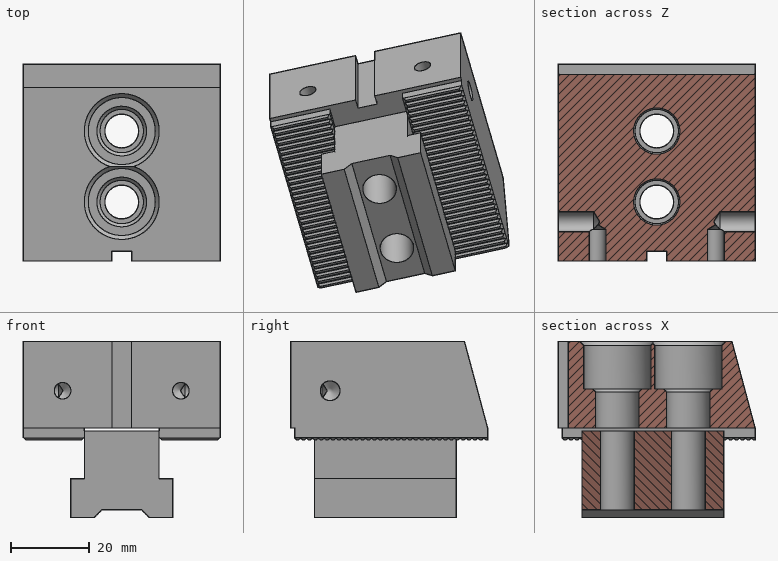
import cadquery as cq
import math

JAW_SIZE = 50.0
TOTAL_HEIGHT = 44.7
JAW_HEIGHT = 25.0
HALF_SIZE = JAW_SIZE / 2
CREST_Z = TOTAL_HEIGHT - JAW_HEIGHT

FOOT_HEIGHT = 3.0
FOOT_Z = CREST_Z + FOOT_HEIGHT
FRONT_STEP = 1.0
FOOT_FRONT_Y = -HALF_SIZE + FRONT_STEP
BACK_ANGLE = 15.0
CHANNEL_WIDTH = 19.0
FOOT_CHAMFER = 0.7

TOOTH_PITCH = 1.5
TOOTH_DEPTH = 0.5
GROOVE_MOUTH = 2 * TOOTH_DEPTH

SLOT_WIDTH = 5.0
SLOT_DEPTH = 2.5

SCREW_YS = (-10.0, 8.0)
BORE_DIAMETER = 17.0
BORE_DEPTH = 12.0
BORE_CHAMFER = 1.0
CLEARANCE_DIAMETER = 11.0
CLEARANCE_CHAMFER = 0.8
NUT_HOLE_DIAMETER = 8.5

DRILL_POINT_ANGLE = 118.0
CROSS_HOLE_Z = TOTAL_HEIGHT - 12.5
FRONT_HOLE_DIAMETER = 4.2
FRONT_HOLE_DEPTH = 8.0
FRONT_HOLE_X = 15.0
SIDE_HOLE_DIAMETER = 5.0
SIDE_HOLE_DEPTH = 9.0
SIDE_HOLE_Y = -15.0

NUT_LENGTH = 36.0
NUT_CENTRE_Y = sum(SCREW_YS) / len(SCREW_YS)
NUT_HEIGHT = 22.0
NUT_FLANGE_WIDTH = 26.0
NUT_FLANGE_HEIGHT = 9.9
RELIEF_MOUTH = 14.0
RELIEF_DEPTH = 2.0


def box_between(x_min, x_max, y_min, y_max, z_min, z_max):
    """Axis-aligned box given by its limits."""
    size = (x_max - x_min, y_max - y_min, z_max - z_min)
    return cq.Workplane("XY").box(*size, centered=False).translate((x_min, y_min, z_min))


def drilled_hole(entry, direction, diameter, depth):
    """Cutter for a blind hole with a conical drill point."""
    radius = diameter / 2
    tip_depth = depth + radius / math.tan(math.radians(DRILL_POINT_ANGLE / 2))
    half_section = (
        cq.Workplane("XY")
        .polyline([(0, 0), (radius, 0), (radius, depth), (0, tip_depth)])
        .close()
    )
    drill = half_section.revolve(360, (0, 0, 0), (0, 1, 0)).val()
    turn = math.degrees(math.atan2(-direction[0], direction[1]))
    return drill.rotate(cq.Vector(0, 0, 0), cq.Vector(0, 0, 1), turn).translate(cq.Vector(*entry))


def jaw_blank():
    """Side outline of the jaw, extruded across its width."""
    back_setback = (TOTAL_HEIGHT - FOOT_Z) * math.tan(math.radians(BACK_ANGLE))
    outline = [
        (-HALF_SIZE, TOTAL_HEIGHT),
        (-HALF_SIZE, FOOT_Z),
        (FOOT_FRONT_Y, FOOT_Z),
        (FOOT_FRONT_Y, CREST_Z),
        (HALF_SIZE, CREST_Z),
        (HALF_SIZE, FOOT_Z),
        (HALF_SIZE - back_setback, TOTAL_HEIGHT),
    ]
    return cq.Workplane("YZ").polyline(outline).close().extrude(HALF_SIZE, both=True)


def foot_channel():
    """Channel between the feet, from front to back."""
    half_width = CHANNEL_WIDTH / 2
    return box_between(-half_width, half_width, -HALF_SIZE, HALF_SIZE, CREST_Z, FOOT_Z)


def foot_edge_chamfer(x):
    """45-degree cutter along the lower edge of a foot at the given X."""
    diamond = [
        (x - FOOT_CHAMFER, CREST_Z),
        (x, CREST_Z + FOOT_CHAMFER),
        (x + FOOT_CHAMFER, CREST_Z),
        (x, CREST_Z - FOOT_CHAMFER),
    ]
    return cq.Workplane("XZ").polyline(diamond).close().extrude(HALF_SIZE, both=True)


def serration_grooves():
    """V-grooves across the feet, the first centred on their front edge."""
    section = [
        (-GROOVE_MOUTH / 2, CREST_Z),
        (0, CREST_Z + TOOTH_DEPTH),
        (GROOVE_MOUTH / 2, CREST_Z),
    ]
    groove = cq.Workplane("YZ").polyline(section).close().extrude(HALF_SIZE, both=True).val()
    groove_count = int((HALF_SIZE - FOOT_FRONT_Y) / TOOTH_PITCH) + 1
    grooves = []
    for index in range(groove_count):
        y = FOOT_FRONT_Y + index * TOOTH_PITCH
        grooves.append(groove.translate(cq.Vector(0, y, 0)))
    return cq.Compound.makeCompound(grooves)


def guide_slot():
    """Vertical slot in the middle of the front face."""
    half_width = SLOT_WIDTH / 2
    slot_back = -HALF_SIZE + SLOT_DEPTH
    return box_between(-half_width, half_width, -HALF_SIZE, slot_back, FOOT_Z, TOTAL_HEIGHT)


def screw_hole(y):
    """Counterbored through hole with chamfers on the bore and on its floor edge."""
    bore_radius = BORE_DIAMETER / 2
    hole_radius = CLEARANCE_DIAMETER / 2
    floor_z = TOTAL_HEIGHT - BORE_DEPTH
    half_section = [
        (0, CREST_Z),
        (hole_radius, CREST_Z),
        (hole_radius, floor_z - CLEARANCE_CHAMFER),
        (hole_radius + CLEARANCE_CHAMFER, floor_z),
        (bore_radius, floor_z),
        (bore_radius, TOTAL_HEIGHT - BORE_CHAMFER),
        (bore_radius + BORE_CHAMFER, TOTAL_HEIGHT),
        (0, TOTAL_HEIGHT),
    ]
    cutter = cq.Workplane("XZ").polyline(half_section).close().revolve(360, (0, 0, 0), (0, 1, 0))
    return cutter.translate((0, y, 0))


def make_jaw():
    """Serrated jaw with its channel, slot, screw holes and drilled holes."""
    jaw = jaw_blank().cut(foot_channel())
    for x in (-HALF_SIZE, -CHANNEL_WIDTH / 2, CHANNEL_WIDTH / 2, HALF_SIZE):
        jaw = jaw.cut(foot_edge_chamfer(x))
    jaw = jaw.cut(cq.Workplane(serration_grooves()))
    jaw = jaw.cut(guide_slot())
    for y in SCREW_YS:
        jaw = jaw.cut(screw_hole(y))
    for side in (-1, 1):
        front_entry = (side * FRONT_HOLE_X, -HALF_SIZE, CROSS_HOLE_Z)
        front_hole = drilled_hole(front_entry, (0, 1), FRONT_HOLE_DIAMETER, FRONT_HOLE_DEPTH)
        side_entry = (side * HALF_SIZE, SIDE_HOLE_Y, CROSS_HOLE_Z)
        side_hole = drilled_hole(side_entry, (-side, 0), SIDE_HOLE_DIAMETER, SIDE_HOLE_DEPTH)
        jaw = jaw.cut(cq.Workplane(front_hole))
        jaw = jaw.cut(cq.Workplane(side_hole))
    return jaw


def make_t_nut():
    """T-section nut whose neck fills the channel, with two through holes."""
    neck = CHANNEL_WIDTH / 2
    flange = NUT_FLANGE_WIDTH / 2
    relief_mouth = RELIEF_MOUTH / 2
    relief_floor = relief_mouth - RELIEF_DEPTH
    outline = [
        (-neck, NUT_HEIGHT),
        (-neck, NUT_FLANGE_HEIGHT),
        (-flange, NUT_FLANGE_HEIGHT),
        (-flange, 0),
        (-relief_mouth, 0),
        (-relief_floor, RELIEF_DEPTH),
        (relief_floor, RELIEF_DEPTH),
        (relief_mouth, 0),
        (flange, 0),
        (flange, NUT_FLANGE_HEIGHT),
        (neck, NUT_FLANGE_HEIGHT),
        (neck, NUT_HEIGHT),
    ]
    body = cq.Workplane("XZ").polyline(outline).close().extrude(NUT_LENGTH / 2, both=True)
    body = body.translate((0, NUT_CENTRE_Y, 0))
    holes = (
        cq.Workplane("XY")
        .pushPoints([(0, y) for y in SCREW_YS])
        .circle(NUT_HOLE_DIAMETER / 2)
        .extrude(NUT_HEIGHT)
    )
    return body.cut(holes)


jaw = make_jaw()
t_nut = make_t_nut()

result = cq.Compound.makeCompound([jaw.solids().val(), t_nut.solids().val()])